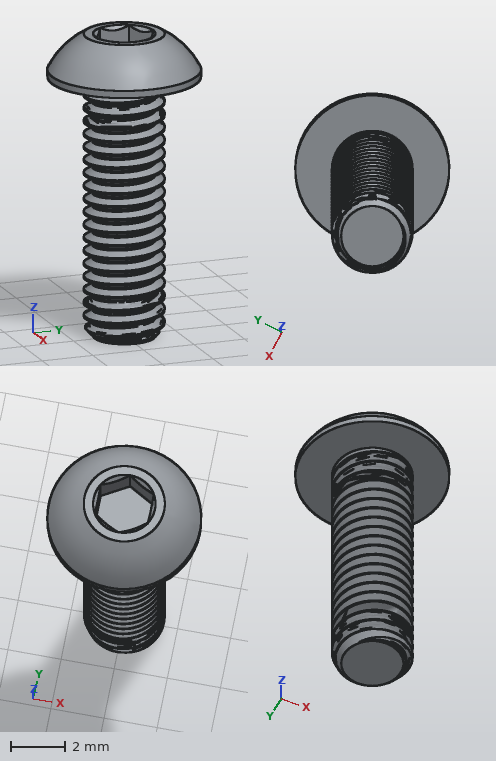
import cadquery as cq
import math

HEAD_DIAMETER = 5.7
HEAD_HEIGHT = 1.65
RIM_HEIGHT = 0.28
TOP_FLAT_DIAMETER = 3.0

SOCKET_ACROSS_FLATS = 2.0
SOCKET_DEPTH = 1.12

SHANK_LENGTH = 10.0
THREAD_DIAMETER = 3.0
CORE_DIAMETER = 2.35
PITCH = 0.5
FLANK_ANGLE = 30.0
CREST_WIDTH = PITCH / 8
CREST_OFFSET = -0.06
TIP_DIAMETER = 2.3
TIP_TAPER_HEIGHT = 0.4
GROOVE_OVERRUN = PITCH
CLEARANCE = 0.1

HEAD_RADIUS = HEAD_DIAMETER / 2
TOP_FLAT_RADIUS = TOP_FLAT_DIAMETER / 2
THREAD_RADIUS = THREAD_DIAMETER / 2
CORE_RADIUS = CORE_DIAMETER / 2
SOCKET_ACROSS_CORNERS = SOCKET_ACROSS_FLATS / math.cos(math.pi / 6)


def make_head():
    """Revolve the head; the dome is part of a sphere centred on the axis."""
    centre_z = (TOP_FLAT_RADIUS**2 + HEAD_HEIGHT**2 - HEAD_RADIUS**2 - RIM_HEIGHT**2) / (
        2 * (HEAD_HEIGHT - RIM_HEIGHT)
    )
    dome_radius = math.hypot(HEAD_RADIUS, RIM_HEIGHT - centre_z)
    middle_radius = (HEAD_RADIUS + TOP_FLAT_RADIUS) / 2
    middle_z = centre_z + math.sqrt(dome_radius**2 - middle_radius**2)
    return (
        cq.Workplane("XZ")
        .lineTo(HEAD_RADIUS, 0)
        .lineTo(HEAD_RADIUS, RIM_HEIGHT)
        .threePointArc((middle_radius, middle_z), (TOP_FLAT_RADIUS, HEAD_HEIGHT))
        .lineTo(0, HEAD_HEIGHT)
        .close()
        .revolve(360, (0, 0, 0), (0, 1, 0))
    )


def make_socket():
    """Hexagonal pocket with corners on the Y axis, plus its 45 degree lead-in cone."""
    hexagon = (
        cq.Workplane("XY", origin=(0, 0, HEAD_HEIGHT))
        .transformed(rotate=(0, 0, 90))
        .polygon(6, SOCKET_ACROSS_CORNERS)
        .extrude(-SOCKET_DEPTH)
    )
    corner_radius = SOCKET_ACROSS_CORNERS / 2
    flat_radius = SOCKET_ACROSS_FLATS / 2
    lead_in = cq.Workplane("XY").add(
        cq.Solid.makeCone(
            corner_radius,
            flat_radius,
            corner_radius - flat_radius,
            cq.Vector(0, 0, HEAD_HEIGHT),
            cq.Vector(0, 0, -1),
        )
    )
    return hexagon.union(lead_in)


def make_blank():
    """Full-diameter shank with a tapered tip, before the thread is cut."""
    return (
        cq.Workplane("XZ")
        .moveTo(0, -SHANK_LENGTH)
        .lineTo(TIP_DIAMETER / 2, -SHANK_LENGTH)
        .lineTo(THREAD_RADIUS, TIP_TAPER_HEIGHT - SHANK_LENGTH)
        .lineTo(THREAD_RADIUS, 0)
        .lineTo(0, 0)
        .close()
        .revolve(360, (0, 0, 0), (0, 1, 0))
    )


def make_groove():
    """Solid helical groove that overruns the shank at both ends and on the outside."""
    start_z = CREST_OFFSET - PITCH / 2 - SHANK_LENGTH - GROOVE_OVERRUN
    groove_height = SHANK_LENGTH + 3 * GROOVE_OVERRUN
    half_mouth = (PITCH - CREST_WIDTH) / 2
    thread_depth = THREAD_RADIUS - CORE_RADIUS
    half_root = half_mouth - thread_depth * math.tan(math.radians(FLANK_ANGLE))
    outer_radius = THREAD_RADIUS + CLEARANCE
    corners = [
        (CORE_RADIUS, -half_root),
        (THREAD_RADIUS, -half_mouth),
        (outer_radius, -half_mouth),
        (outer_radius, half_mouth),
        (THREAD_RADIUS, half_mouth),
        (CORE_RADIUS, half_root),
    ]
    helices = [
        cq.Wire.makeHelix(PITCH, groove_height, radius, cq.Vector(0, 0, start_z + offset))
        for radius, offset in corners
    ]
    sides = [
        cq.Face.makeRuledSurface(helix, helices[index - 1])
        for index, helix in enumerate(helices)
    ]
    ends = []
    for end_z in (start_z, start_z + groove_height):
        outline = [cq.Vector(radius, 0, end_z + offset) for radius, offset in corners]
        ends.append(cq.Face.makeFromWires(cq.Wire.makePolygon(outline, close=True)))
    return cq.Workplane("XY").add(cq.Solid.makeSolid(cq.Shell.makeShell(sides + ends)))


def make_thread_runout():
    """45 degree cone that fills the groove against the head underside."""
    return cq.Workplane("XY").add(
        cq.Solid.makeCone(THREAD_RADIUS, 0, THREAD_RADIUS, cq.Vector(0, 0, 0), cq.Vector(0, 0, -1))
    )


shank = make_blank().cut(make_groove()).union(make_thread_runout())
result = make_head().union(shank).cut(make_socket())